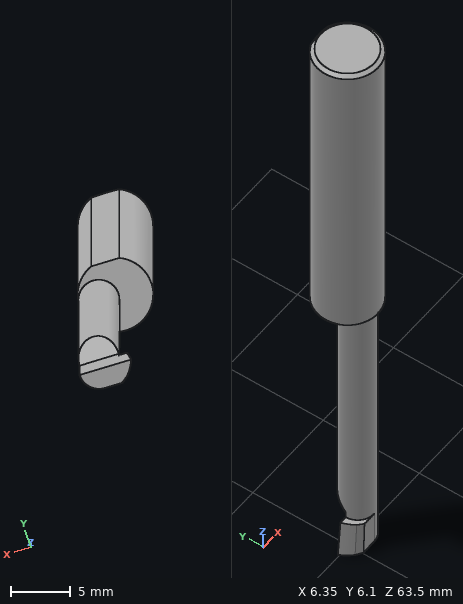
import cadquery as cq
import math

total_length = 63.5
shank_diameter = 6.35
shank_length = total_length / 2
shank_radius = shank_diameter / 2
flat_depth = 0.25
chamfer_radial = 0.4
chamfer_axial = 0.3

neck_diameter = 3.45
neck_radius = neck_diameter / 2
neck_center_x = shank_radius - neck_radius
neck_length = total_length - shank_length

head_height = 3.8
face_runout_z = 4.4
end_rise_x_angle = 2.0
end_relief_angle = 5.5
tip_x = -1.4
heel_x, heel_y = -0.68, -1.25
relief_bulge = 0.06
back_x = -0.08
tip_draft = 0.38
heel_draft = 0.24
back_draft = 0.15


def make_shank():
    """Round shank with a chamfered top end and a flat along its +Y side."""
    shank = (
        cq.Workplane("XY")
        .workplane(offset=total_length - shank_length)
        .circle(shank_radius)
        .extrude(shank_length)
        .faces(">Z")
        .chamfer(chamfer_axial, chamfer_radial)
    )
    flat_y = shank_radius - flat_depth
    flat_cutter = (
        cq.Workplane("XY")
        .box(shank_diameter, shank_diameter, total_length, centered=(True, False, False))
        .translate((0, flat_y, 0))
    )
    return shank.cut(flat_cutter)


def make_neck():
    """Round neck cut away to its -Y half at the tip, with a 45 degree runout."""
    neck = cq.Workplane("XY").center(neck_center_x, 0).circle(neck_radius).extrude(neck_length)
    runout = (
        cq.Workplane("YZ")
        .polyline([
            (0, 0),
            (0, face_runout_z),
            (neck_diameter, face_runout_z + neck_diameter),
            (neck_diameter, 0),
        ])
        .close()
        .extrude(shank_diameter, both=True)
    )
    return neck.cut(runout)


def draw_head_section(base, lean):
    """Draw the head cross-section; lean runs from 0 at the tip end to 1 at the head top."""
    tip = (tip_x + lean * tip_draft, 0)
    heel = (heel_x + lean * heel_draft, heel_y)
    back = (back_x + lean * back_draft, -neck_radius)
    chord_x = heel[0] - tip[0]
    chord_y = heel[1] - tip[1]
    chord = math.hypot(chord_x, chord_y)
    relief_middle = (
        (tip[0] + heel[0]) / 2 + relief_bulge * chord_y / chord,
        (tip[1] + heel[1]) / 2 - relief_bulge * chord_x / chord,
    )
    return (
        base.moveTo(*tip)
        .threePointArc(relief_middle, heel)
        .lineTo(*back)
        .lineTo(neck_center_x, -neck_radius)
        .lineTo(neck_center_x, 0)
        .close()
    )


def make_head():
    """Cutting head that projects from the neck towards -X, below the rake face."""
    tip_section = draw_head_section(cq.Workplane("XY"), 0)
    both_sections = draw_head_section(tip_section.workplane(offset=head_height, origin=(0, 0, 0)), 1)
    return both_sections.loft(ruled=True)


def make_end_cutter():
    """Block whose top is the end face, sloping up from the tip corner."""
    normal = (
        -math.tan(math.radians(end_rise_x_angle)),
        math.tan(math.radians(end_relief_angle)),
        1,
    )
    end_plane = cq.Plane(origin=(tip_x, 0, 0), xDir=(1, 0, -normal[0]), normal=normal)
    block_size = 4 * shank_diameter
    return cq.Workplane(end_plane).rect(block_size, block_size).extrude(-shank_diameter)


result = make_shank().union(make_neck()).union(make_head()).cut(make_end_cutter())